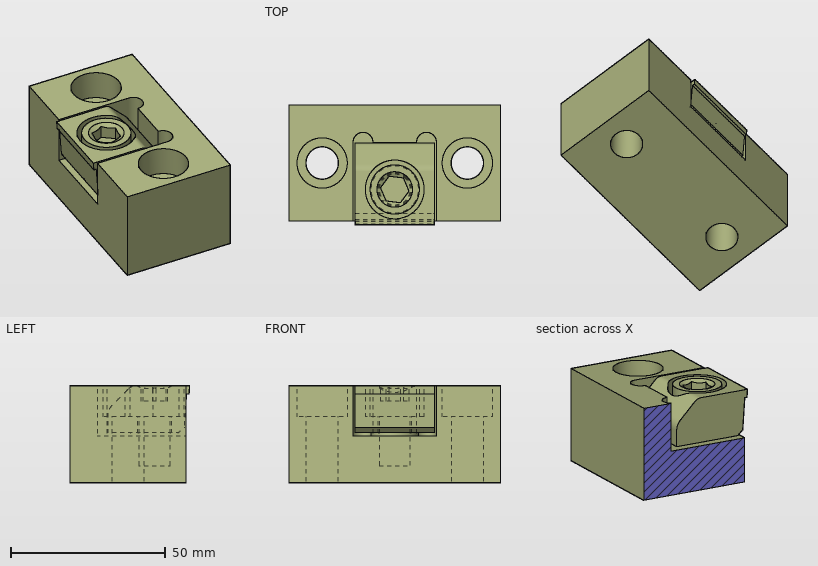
import cadquery as cq
import math

LENGTH = 68.6
WIDTH = 37.7
HEIGHT = 31.55

MOUNT_X = 23.5
MOUNT_BORE_D = 10.4
MOUNT_HEAD_D = 16.3
MOUNT_HEAD_DEPTH = 10.0

POCKET_WIDTH = 27.0
POCKET_BACK = 25.6
POCKET_FLOOR = 15.2
RELIEF_R = 3.2

JAW_WIDTH = 25.7
JAW_BACK = 25.4
JAW_OVERHANG = 1.2
LIP_HEIGHT = 2.75
LIP_STEP = 0.8
FACE_TILT = 4.0
JAW_LIFT = 1.1
JAW_CHAMFER_HEIGHT = 1.65
JAW_CHAMFER_DEPTH = 1.85
RAMP_START = 17.6
RAMP_ANGLE = 45.0
RAMP_TOP_R = 3.3
RAMP_BACK_R = 4.65
JAW_HEAD_D = 19.05
JAW_BORE_D = 11.0

SCREW_Y = 10.3
HEAD_D = 16.0
HEAD_HEIGHT = 10.0
SHANK_D = 10.0
SHANK_END = 5.5
SOCKET_MOUTH_D = 11.5
SOCKET_MOUTH_ANGLE = 30.0
HEX_CORNER_D = 9.3
HEX_DEPTH = 5.0
HEX_TURN = -7.0

WASHER_D = 15.35
WASHER_BORE_D = 10.55

JAW_BASE = POCKET_FLOOR + JAW_LIFT
SEAT_Z = HEIGHT - HEAD_HEIGHT


def cylinder(x, y, z_low, z_high, diameter):
    """Upright cylinder between two heights."""
    return cq.Workplane("XY", origin=(x, y, z_low)).circle(diameter / 2).extrude(z_high - z_low)


def make_housing():
    block = cq.Workplane("XY").box(LENGTH, WIDTH, HEIGHT, centered=(True, False, False))
    pocket = (
        cq.Workplane("XY", origin=(0, 0, POCKET_FLOOR))
        .rect(POCKET_WIDTH, 2 * POCKET_BACK)
        .extrude(HEIGHT - POCKET_FLOOR)
    )
    block = block.cut(pocket)
    for side in (-1, 1):
        relief_x = side * (POCKET_WIDTH / 2 - RELIEF_R)
        mount_x = side * MOUNT_X
        head_floor = HEIGHT - MOUNT_HEAD_DEPTH
        block = block.cut(cylinder(relief_x, POCKET_BACK, POCKET_FLOOR, HEIGHT, 2 * RELIEF_R))
        block = block.cut(cylinder(mount_x, WIDTH / 2, 0, HEIGHT, MOUNT_BORE_D))
        block = block.cut(cylinder(mount_x, WIDTH / 2, head_floor, HEIGHT, MOUNT_HEAD_D))
    return block.cut(cylinder(0, SCREW_Y, SHANK_END, POCKET_FLOOR, SHANK_D))


def make_jaw():
    lean = math.tan(math.radians(FACE_TILT))
    lip_base = HEIGHT - LIP_HEIGHT
    lip_y = -JAW_OVERHANG + LIP_HEIGHT * lean
    face_y = lip_y + LIP_STEP
    chamfer_top = JAW_BASE + JAW_CHAMFER_HEIGHT
    chamfer_y = face_y + (lip_base - chamfer_top) * lean
    ramp_end = HEIGHT - (JAW_BACK - RAMP_START) * math.tan(math.radians(RAMP_ANGLE))
    profile = [
        (-JAW_OVERHANG, HEIGHT),
        (lip_y, lip_base),
        (face_y, lip_base),
        (chamfer_y, chamfer_top),
        (chamfer_y + JAW_CHAMFER_DEPTH, JAW_BASE),
        (JAW_BACK, JAW_BASE),
        (JAW_BACK, ramp_end),
        (RAMP_START, HEIGHT),
    ]
    jaw = cq.Workplane("YZ").polyline(profile).close().extrude(JAW_WIDTH / 2, both=True)
    jaw = jaw.edges(cq.NearestToPointSelector((0, RAMP_START, HEIGHT))).fillet(RAMP_TOP_R)
    jaw = jaw.edges(cq.NearestToPointSelector((0, JAW_BACK, ramp_end))).fillet(RAMP_BACK_R)
    jaw = jaw.cut(cylinder(0, SCREW_Y, SEAT_Z, HEIGHT, JAW_HEAD_D))
    return jaw.cut(cylinder(0, SCREW_Y, JAW_BASE, SEAT_Z, JAW_BORE_D))


def make_screw():
    head = cylinder(0, SCREW_Y, SEAT_Z, HEIGHT, HEAD_D)
    screw = head.union(cylinder(0, SCREW_Y, SHANK_END, SEAT_Z, SHANK_D))
    hex_socket = (
        cq.Workplane("XY", origin=(0, SCREW_Y, HEIGHT))
        .transformed(rotate=(0, 0, HEX_TURN))
        .polygon(6, HEX_CORNER_D)
        .extrude(-HEX_DEPTH)
    )
    mouth_r = SOCKET_MOUTH_D / 2
    flat_r = HEX_CORNER_D / 2 * math.cos(math.pi / 6)
    mouth_depth = (mouth_r - flat_r) * math.tan(math.radians(SOCKET_MOUTH_ANGLE))
    mouth = cq.Solid.makeCone(mouth_r, flat_r, mouth_depth, pnt=(0, SCREW_Y, HEIGHT), dir=(0, 0, -1))
    return screw.cut(hex_socket).cut(cq.Workplane(mouth))


def make_washer():
    disc = cylinder(0, SCREW_Y, POCKET_FLOOR, JAW_BASE, WASHER_D)
    return disc.cut(cylinder(0, SCREW_Y, POCKET_FLOOR, JAW_BASE, WASHER_BORE_D))


housing = make_housing()
jaw = make_jaw()
screw = make_screw()
washer = make_washer()

result = cq.Compound.makeCompound([housing.val(), jaw.val(), screw.val(), washer.val()])